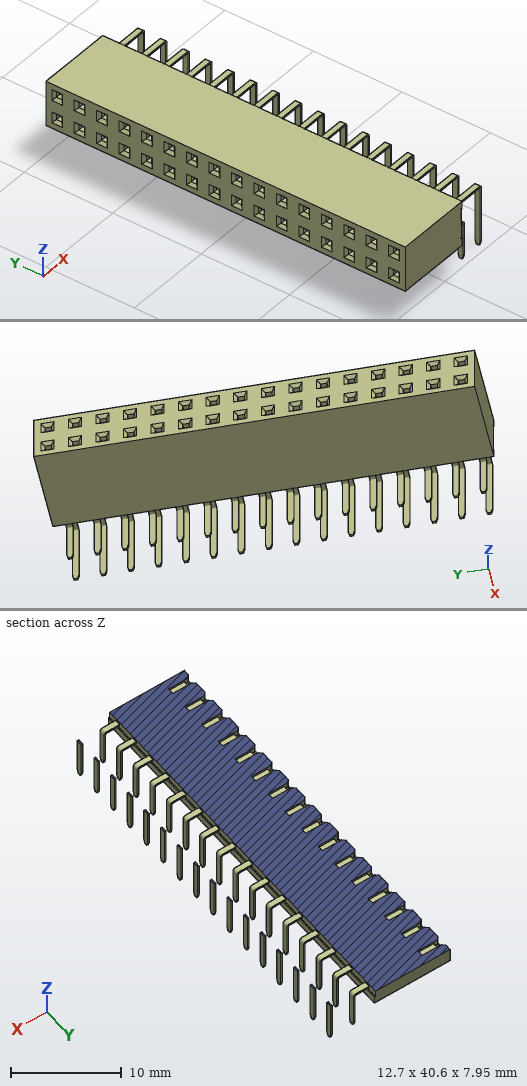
import cadquery as cq

pitch = 2.54
columns = 16
rows = 2

housing_depth = 8.5
housing_length = pitch * columns
housing_height = 5.05

groove_depth = 0.12
lip_height = 0.85

mouth_size = 1.2
pin_width = 0.6
socket_size = pin_width
lead_in_depth = 0.305
socket_depth = 2.45

overall_depth = 12.7
overall_height = 7.95
pin_thickness = 0.2
bend_outer_radius = 0.33
bend_inner_radius = bend_outer_radius - pin_thickness
tip_length = 0.5
tip_width = 0.33
blade_recess = 0.7

pin_bottom = housing_height - overall_height
column_positions = [(i - (columns - 1) / 2) * pitch for i in range(columns)]
row_heights = [housing_height / 2 + (i - (rows - 1) / 2) * pitch for i in range(rows)]


def make_housing():
    """Rectangular housing with the groove cut along its rear face."""
    housing = cq.Workplane("XY").box(
        housing_depth, housing_length, housing_height, centered=(False, True, False)
    )
    groove = cq.Workplane("XY").box(
        groove_depth, housing_length, housing_height - 2 * lip_height, centered=(False, True, False)
    )
    return housing.cut(groove.translate((housing_depth - groove_depth, 0, lip_height)))


def make_socket():
    """Square hole with a tapered mouth, centred on the X axis and starting at X = 0."""
    lead_in = (
        cq.Workplane("YZ")
        .rect(mouth_size, mouth_size)
        .workplane(offset=lead_in_depth)
        .rect(socket_size, socket_size)
        .loft(ruled=True)
    )
    hole = cq.Workplane("YZ").rect(socket_size, socket_size).extrude(socket_depth)
    return lead_in.union(hole)


def make_pin(row):
    """Strip running back from the socket, bent down behind the housing, with a tapered tip."""
    back = overall_depth - (rows - 1 - row) * pitch
    top = row_heights[row] + pin_thickness / 2
    bend_x = back - bend_outer_radius
    bend_z = top - bend_outer_radius
    strip = (
        cq.Workplane("XZ")
        .moveTo(blade_recess, top)
        .lineTo(bend_x, top)
        .radiusArc((back, bend_z), bend_outer_radius)
        .lineTo(back, pin_bottom)
        .lineTo(back - pin_thickness, pin_bottom)
        .lineTo(back - pin_thickness, bend_z)
        .radiusArc((bend_x, top - pin_thickness), -bend_inner_radius)
        .lineTo(blade_recess, top - pin_thickness)
        .close()
        .extrude(pin_width / 2, both=True)
    )
    tapered_outline = (
        cq.Workplane("YZ")
        .moveTo(-tip_width / 2, pin_bottom)
        .lineTo(tip_width / 2, pin_bottom)
        .lineTo(pin_width / 2, pin_bottom + tip_length)
        .lineTo(pin_width / 2, top)
        .lineTo(-pin_width / 2, top)
        .lineTo(-pin_width / 2, pin_bottom + tip_length)
        .close()
        .extrude(back)
    )
    return strip.intersect(tapered_outline)


def place(shape, y, z):
    """Copy of the shape moved across the front of the housing."""
    return shape.val().moved(cq.Location(cq.Vector(0, y, z)))


socket = make_socket()
sockets = [place(socket, y, z) for y in column_positions for z in row_heights]
pins = [place(make_pin(row), y, 0) for row in range(rows) for y in column_positions]

housing = make_housing().val().cut(*sockets)
connector = housing.fuse(*pins)
result = cq.Workplane("XY").add(connector.Solids())